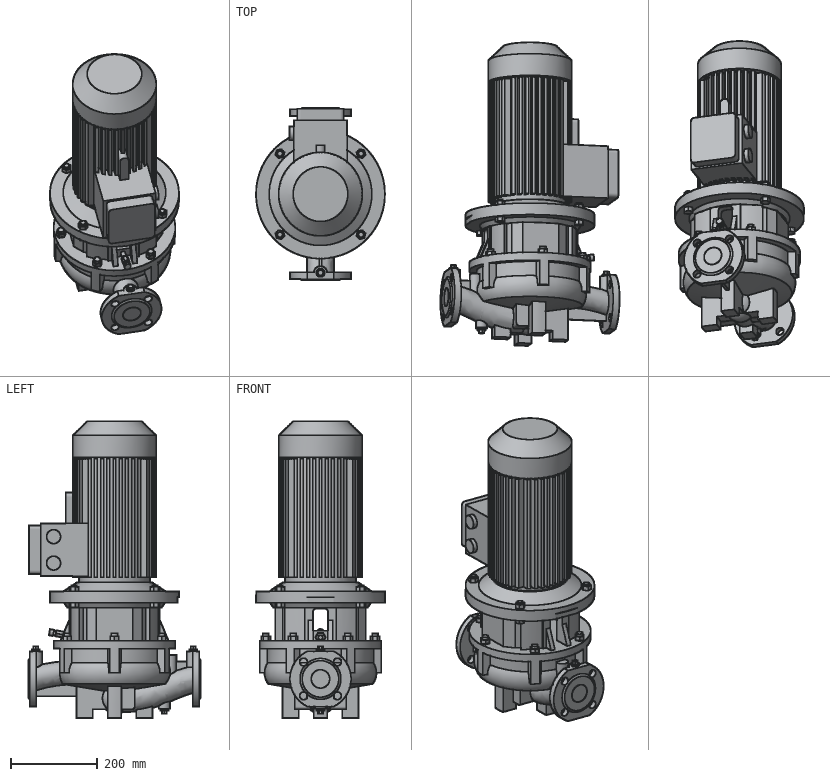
import cadquery as cq
import math


motor_top = 689.0
cap_radius = 97.0
cap_top_radius = 63.5
cap_shoulder_z = 656.0
cap_bottom_z = 605.0
fin_top_z = 601.5
fin_bottom_z = 326.5
core_radius = 83.0
fin_pitch = 14.5
fin_thickness = 7.0
fins_per_half_side = 4
bell_top_z = 315.0
bell_top_radius = 87.5
bell_bottom_radius = 119.0

motor_flange_radius = 300.0 / 2
motor_flange_top = 294.0
motor_flange_bottom = 267.0
flat_half_width = 30.0
flat_height = 13.0

screw_circle_radius = 133.0
screw_count = 4
screw_start_angle = 45.0
screw_hex = 22.0
screw_nut_height = 10.0
screw_radius = 6.0
screw_end_height = 14.5

box_width = 124.0
box_inner_y = 59.0
box_outer_y = 171.5
box_bottom_z = 329.0
box_top_z = 452.0
lid_width = 109.0
lid_outer_y = 198.5
lid_margin_z = 5.0
lid_corner = 9.0
gland_radius = 32.5 / 2
gland_length = 10.0
gland_y = 141.0
gland_heights = (360.0, 421.0)
lug_width = 21.0
lug_outer_y = 114.0
lug_top_z = 523.5

stool_rim_radius = 117.0
stool_rim_lower_radius = 109.5
stool_rim_bottom = 256.0
stool_reach = 105.5
stool_bore_radius = 86.0
stool_flat_half = 43.0
stool_chamfer_end = (87.5, 65.0)
stool_notch_root = (74.5, 73.0)
stool_notch_edge = (83.0, 81.0)
window_pad_half_width = 36.5
window_width = 34.5
window_top_z = 254.0
window_corner = 8.0
sill_top_z = 203.0
sill_thickness = 10.0
gusset_thickness = 11.0
gusset_top_z = 227.5
gusset_foot_y = 125.5

casing_radius = 141.0
casing_flange_top = 180.0
casing_flange_bottom = 161.0
casing_wall_radius = 124.0
volute_hub_z = 63.5
volute_hub_radius = 31.0
volute_floor_edge = (121.0, 79.0)
volute_widest = (130.0, 102.0)
volute_top_z = 128.0
boss_bottom_z = 105.0
boss_outer_half = 17.0 / 2
boss_inner_half = 18.5
boss_inner_radius = 110.0
trim_allowance = 7.0

port_height = 91.0
port_face_y = 197.0
port_face_raise = 3.1
port_flange_thickness = 16.0
port_flange_radius = 71.0
port_flange_half_height = 64.0
raised_base_radius = 47.5
raised_face_radius = 85.0 / 2
bore_mark_radius = 21.5
bore_mark_depth = 1.0
port_hole_offset = 39.0
port_hole_radius = 9.0
port_back_y = port_face_y - port_flange_thickness
discharge_radius = 29.0
discharge_start_z = 93.0
discharge_path = [(148.0, 100.5), (110.0, 105.0), (69.0, 105.5)]
suction_radius = 32.0
suction_start_z = 89.5
eye_radius = 36.0
eye_y = -4.0
eye_height = 46.0
suction_path = [(-141.0, 76.5), (-83.0, 54.0), (-41.0, 45.5), (eye_y, eye_height)]

plug_boss_radius = 31.0 / 2
plug_boss_y = 182.5
plug_boss_bottom = 118.5
plug_neck_radius = 7.5
plug_neck_height = 3.0
plug_washer_radius = 9.5
plug_washer_height = 2.0
plug_head_hex = 14.0
plug_head_height = 7.0
drain_y = -116.0
drain_boss_radius = 13.0
drain_boss_bottom = 21.5
drain_boss_height = 27.5
gauge_boss_y = -130.0
gauge_boss_radius = 14.0
gauge_boss_bottom = 77.0
gauge_boss_top = 147.0
vent_inner_y = 79.0
vent_height = 187.0
vent_tilt = 10.0
vent_length = 73.0
vent_stem_radius = 5.5
vent_tail = 3.0
vent_collar_hex = 23.5
vent_collar_length = 7.0
vent_nut_hex = 16.5
vent_nut_start = 38.5
vent_nut_length = 19.0
vent_cap_radius = 7.5
vent_cap_length = 9.5

foot_reach = 89.0
foot_inner = 50.0
foot_width = 32.0
foot_top_z = 76.0
foot_arch_height = 20.0
saddle_half_width = 60.0
saddle_outer_y = -47.0
saddle_inner_y = -17.0
saddle_corner = 7.0
rib_thickness = 7.0
discharge_rib_bottom = 50.0
suction_rib_top = 131.5

bolt_count = 6
bolt_circle_radius = 127.0
bolt_hex = 22.0
bolt_nut_height = 10.0
bolt_radius = 14.5 / 2
bolt_top_z = 196.5
bolt_bottom_z = 117.0

MIRROR_SIDES = (-1, 1)


def block(x0, x1, y0, y1, z0, z1):
    """Box between two opposite corners."""
    return cq.Workplane("XY").box(x1 - x0, y1 - y0, z1 - z0, centered=False).translate((x0, y0, z0))


def disc(radius, bottom, top):
    """Cylinder on the Z axis."""
    return cq.Workplane("XY").workplane(offset=bottom).circle(radius).extrude(top - bottom)


def hexagon(corner_diameter, bottom, top):
    """Hexagonal prism on the Z axis."""
    return cq.Workplane("XY").workplane(offset=bottom).polygon(6, corner_diameter).extrude(top - bottom)


def turned(points):
    """Solid of revolution about Z from (radius, height) points that start and end on the axis."""
    return cq.Workplane("XZ").polyline(points).close().revolve(360, (0, 0), (0, 1))


def around(shape, count, start=0.0):
    """Copies of a shape at equal angles about Z."""
    return [shape.rotate((0, 0, 0), (0, 0, 1), start + i * 360.0 / count) for i in range(count)]


def joined(base, parts):
    """Union of a base shape and a list of parts."""
    for part in parts:
        base = base.union(part)
    return base



def motor_barrel():
    """Fan cap, core, bell and mounting flange."""
    return turned([
        (0, motor_top), (cap_top_radius, motor_top), (cap_radius, cap_shoulder_z), (cap_radius, cap_bottom_z),
        (core_radius, cap_bottom_z), (core_radius, bell_top_z), (bell_top_radius, bell_top_z),
        (bell_bottom_radius, motor_flange_top), (motor_flange_radius, motor_flange_top),
        (motor_flange_radius, motor_flange_bottom), (0, motor_flange_bottom),
    ])


def cooling_fins():
    """Parallel fins on four sides, trimmed to the cap radius."""
    half = fin_thickness / 2
    fins = disc(core_radius, fin_bottom_z, fin_top_z)
    for i in range(-fins_per_half_side, fins_per_half_side + 1):
        x = i * fin_pitch
        fins = fins.union(block(x - half, x + half, -cap_radius, cap_radius, fin_bottom_z, fin_top_z))
        fins = fins.union(block(-cap_radius, cap_radius, x - half, x + half, fin_bottom_z, fin_top_z))
    return fins.intersect(disc(cap_radius, fin_bottom_z, fin_top_z))


def terminal_box():
    """Box, lid with rounded corners, and cable glands on the -X side."""
    half = box_width / 2
    box = block(-half, half, box_inner_y, box_outer_y, box_bottom_z, box_top_z)
    lid = block(-lid_width / 2, lid_width / 2, box_outer_y, lid_outer_y,
                box_bottom_z + lid_margin_z, box_top_z - lid_margin_z)
    box = box.union(lid.edges("|Y").fillet(lid_corner))
    for z in gland_heights:
        gland = cq.Workplane("YZ").center(gland_y, z).circle(gland_radius).extrude(-gland_length)
        box = box.union(gland.translate((-half, 0, 0)))
    return box


def lifting_lug():
    """Upright lug with a full-round top, standing behind the barrel."""
    radius = lug_width / 2
    lug_inner_y = core_radius - radius
    lug = block(-radius, radius, lug_inner_y, lug_outer_y, box_top_z, lug_top_z - radius)
    crown = cq.Workplane("XZ").center(0, lug_top_z - radius).circle(radius)
    crown = crown.extrude(lug_inner_y - lug_outer_y)
    return lug.union(crown.translate((0, lug_inner_y, 0)))


def flange_screw():
    """Stud with a nut above and below the motor flange."""
    stud = disc(screw_radius, motor_flange_bottom, motor_flange_top + screw_end_height)
    upper_nut = hexagon(screw_hex, motor_flange_top, motor_flange_top + screw_nut_height)
    lower_nut = hexagon(screw_hex, motor_flange_bottom - screw_nut_height, motor_flange_bottom)
    return stud.union(upper_nut).union(lower_nut).translate((screw_circle_radius, 0, 0))


def build_motor():
    motor = motor_barrel().union(cooling_fins()).union(terminal_box()).union(lifting_lug())
    motor = joined(motor, around(flange_screw(), screw_count, screw_start_angle))
    flat_y = -math.sqrt(motor_flange_radius**2 - flat_half_width**2)
    flat = block(-flat_half_width, flat_half_width, -motor_flange_radius, flat_y,
                 motor_flange_bottom, motor_flange_bottom + flat_height)
    return motor.cut(flat)



def stool_wall():
    """Wall with curved front and back, a chamfered flat on each X side and a notch between them."""
    quarter = [(stool_reach, stool_flat_half), stool_chamfer_end, stool_notch_root, stool_notch_edge]
    mirrored = [(-x, y) for x, y in reversed(quarter)]
    wire = cq.Workplane("XY").workplane(offset=casing_flange_top).polyline(quarter)
    wire = wire.threePointArc((0, stool_reach), mirrored[0])
    for point in mirrored[1:] + [(-x, -y) for x, y in quarter]:
        wire = wire.lineTo(*point)
    last_corner = [(x, -y) for x, y in reversed(quarter)]
    wire = wire.threePointArc((0, -stool_reach), last_corner[0])
    for point in last_corner[1:]:
        wire = wire.lineTo(*point)
    return wire.close().extrude(stool_rim_bottom - casing_flange_top)


def gusset(side_x, side_y):
    """Triangular web beside a window, from the stool wall down to the casing flange."""
    outline = [(stool_bore_radius, casing_flange_top), (gusset_foot_y, casing_flange_top),
               (stool_reach, gusset_top_z), (stool_bore_radius, gusset_top_z)]
    outline = [(side_y * y, z) for y, z in outline]
    web = cq.Workplane("YZ").polyline(outline).close().extrude(side_x * gusset_thickness)
    return web.translate((side_x * window_width / 2, 0, 0))


def build_stool():
    rim = turned([(0, motor_flange_bottom), (stool_rim_radius, motor_flange_bottom),
                  (stool_rim_lower_radius, stool_rim_bottom), (0, stool_rim_bottom)])
    pad = block(-window_pad_half_width, window_pad_half_width, -stool_reach, stool_reach,
                casing_flange_top, stool_rim_bottom)
    stool = stool_wall().union(pad).union(rim)
    for side_x in MIRROR_SIDES:
        for side_y in MIRROR_SIDES:
            stool = stool.union(gusset(side_x, side_y))
    stool = stool.cut(disc(stool_bore_radius, casing_flange_top, motor_flange_bottom))
    half = window_width / 2
    window = block(-half, half, -casing_radius, casing_radius, casing_flange_top, window_top_z)
    stool = stool.cut(window.edges("|Y and >Z").fillet(window_corner))
    sill = block(-half, half, stool_bore_radius, stool_bore_radius + sill_thickness,
                 casing_flange_top, sill_top_z)
    return stool.union(sill)


def bolt_boss():
    """Tapered boss under the casing flange, flush with its rim."""
    outline = [(boss_inner_radius, -boss_inner_half), (casing_radius + trim_allowance, -boss_outer_half),
               (casing_radius + trim_allowance, boss_outer_half), (boss_inner_radius, boss_inner_half)]
    boss = cq.Workplane("XY").workplane(offset=boss_bottom_z).polyline(outline).close()
    boss = boss.extrude(casing_flange_top - boss_bottom_z)
    return boss.intersect(disc(casing_radius, boss_bottom_z, casing_flange_top))


def volute():
    """Dished floor and rounded outer channel of the casing, with the wall above it."""
    profile = cq.Workplane("XZ").moveTo(0, volute_hub_z).lineTo(volute_hub_radius, volute_hub_z)
    profile = profile.lineTo(*volute_floor_edge)
    profile = profile.threePointArc(volute_widest, (casing_wall_radius, volute_top_z))
    profile = profile.lineTo(casing_wall_radius, casing_flange_bottom).lineTo(0, casing_flange_bottom).close()
    return profile.revolve(360, (0, 0), (0, 1))


def port_flange(side):
    """Round flange with flats above and below, four bolt holes and a raised face."""
    face_depth = port_flange_thickness + port_face_raise
    hole_pitch = 2 * port_hole_offset
    plate = cq.Workplane("XZ").circle(port_flange_radius).extrude(port_flange_thickness)
    plate = plate.intersect(cq.Workplane("XY").box(
        2 * port_flange_radius, 2 * port_flange_thickness, 2 * port_flange_half_height))
    holes = cq.Workplane("XZ").rect(hole_pitch, hole_pitch, forConstruction=True).vertices()
    holes = holes.circle(port_hole_radius).extrude(face_depth)
    raised = cq.Workplane("XZ").workplane(offset=port_flange_thickness).circle(raised_base_radius)
    raised = raised.workplane(offset=port_face_raise).circle(raised_face_radius).loft()
    mark = cq.Workplane("XZ").workplane(offset=face_depth)
    plate = plate.union(raised).cut(holes)
    plate = plate.cut(mark.circle(bore_mark_radius).extrude(-bore_mark_depth))
    plate = plate.translate((0, -port_back_y, port_height))
    return plate if side < 0 else plate.mirror("XZ")


def plug():
    """Screw plug standing on Z = 0: neck, washer and hexagonal head."""
    washer_z = plug_neck_height
    head_z = washer_z + plug_washer_height
    body = disc(plug_neck_radius, 0, washer_z).union(disc(plug_washer_radius, washer_z, head_z))
    return body.union(hexagon(plug_head_hex, head_z, head_z + plug_head_height))


def port_plug(side):
    """Gauge boss merging into a port flange, with its plug."""
    top = port_height + port_flange_half_height
    boss = disc(plug_boss_radius, plug_boss_bottom, top).translate((0, side * plug_boss_y, 0))
    face_cut = block(-port_flange_radius, port_flange_radius,
                     port_face_y, port_face_y + plug_boss_radius, 0, top)
    if side < 0:
        face_cut = face_cut.mirror("XZ")
    return boss.cut(face_cut).union(plug().translate((0, side * plug_boss_y, top)))


def bent_pipe(radius, start_y, start_z, path_points):
    """Round bar from the back of a port flange along a smooth path of (y, z) points."""
    path = cq.Workplane("YZ").moveTo(start_y, start_z).spline(path_points, includeCurrent=True)
    return cq.Workplane("XZ", origin=(0, start_y, start_z)).circle(radius).sweep(path)


def discharge_pipe():
    """Short pipe from the volute to the +Y flange."""
    return bent_pipe(discharge_radius, port_back_y, discharge_start_z, discharge_path)


def suction_pipe():
    """Pipe from the -Y flange that sinks below the volute to the rounded impeller eye."""
    pipe = bent_pipe(suction_radius, -port_back_y, suction_start_z, suction_path)
    return pipe.union(cq.Workplane("XY").sphere(eye_radius).translate((0, eye_y, eye_height)))


def feet():
    """Crossed round-ended foot plates with an arch between the feet, and a saddle under the suction pipe."""
    half = foot_width / 2
    beam = block(-foot_reach, foot_reach, -half, half, 0, foot_top_z)
    beam = beam.intersect(disc(foot_reach, 0, foot_top_z))
    beam = beam.cut(block(-foot_inner, foot_inner, -half, half, 0, foot_arch_height))
    saddle = block(-saddle_half_width, saddle_half_width, saddle_outer_y, saddle_inner_y,
                   foot_arch_height, foot_top_z)
    saddle = saddle.edges("|X and <Y and <Z").fillet(saddle_corner)
    return saddle.union(beam).union(beam.rotate((0, 0, 0), (0, 0, 1), 90))


def ribs():
    """Webs under the discharge pipe and above the suction pipe."""
    half = rib_thickness / 2
    lower = block(-half, half, 0, port_back_y, discharge_rib_bottom, port_height)
    upper = block(-half, half, -port_back_y, -casing_wall_radius, port_height, suction_rib_top)
    return lower.union(upper)


def drain_boss():
    """Boss under the suction pipe with a plug pointing down."""
    boss = disc(drain_boss_radius, drain_boss_bottom, drain_boss_bottom + drain_boss_height)
    drain = plug().mirror("XY").translate((0, 0, drain_boss_bottom))
    return boss.union(drain).translate((0, drain_y, 0))


def gauge_boss():
    """Upright boss on the suction pipe next to the casing wall."""
    return disc(gauge_boss_radius, gauge_boss_bottom, gauge_boss_top).translate((0, gauge_boss_y, 0))


def vent():
    """Air vent through the sill of the +Y window, rising outwards."""
    collar_top = vent_tail + vent_collar_length
    nut_top = vent_nut_start + vent_nut_length
    body = disc(vent_stem_radius, 0, vent_length)
    body = body.union(hexagon(vent_collar_hex, vent_tail, collar_top))
    body = body.union(hexagon(vent_nut_hex, vent_nut_start, nut_top))
    body = body.union(disc(vent_cap_radius, vent_length - vent_cap_length, vent_length))
    return body.rotate((0, 0, 0), (1, 0, 0), vent_tilt - 90).translate((0, vent_inner_y, vent_height))


def build_pump():
    pump = volute().union(disc(casing_radius, casing_flange_bottom, casing_flange_top))
    pump = joined(pump, around(bolt_boss(), bolt_count))
    pump = joined(pump, [discharge_pipe(), suction_pipe(), feet(), ribs(), drain_boss(), gauge_boss()])
    for side in MIRROR_SIDES:
        pump = pump.union(port_flange(side)).union(port_plug(side))
    pump = pump.union(build_stool()).union(vent())
    bolt_hole = disc(bolt_radius, bolt_bottom_z, casing_flange_top).translate((bolt_circle_radius, 0, 0))
    for hole in around(bolt_hole, bolt_count):
        pump = pump.cut(hole)
    return pump



def build_bolt():
    """Stud in the casing boss with a nut on the casing flange."""
    stud = disc(bolt_radius, bolt_bottom_z, bolt_top_z)
    nut = hexagon(bolt_hex, casing_flange_top, casing_flange_top + bolt_nut_height)
    return stud.union(nut).translate((bolt_circle_radius, 0, 0))


motor = build_motor()
pump = build_pump()
bolts = around(build_bolt(), bolt_count)

result = cq.Compound.makeCompound([motor.val(), pump.val(), *[bolt.val() for bolt in bolts]])